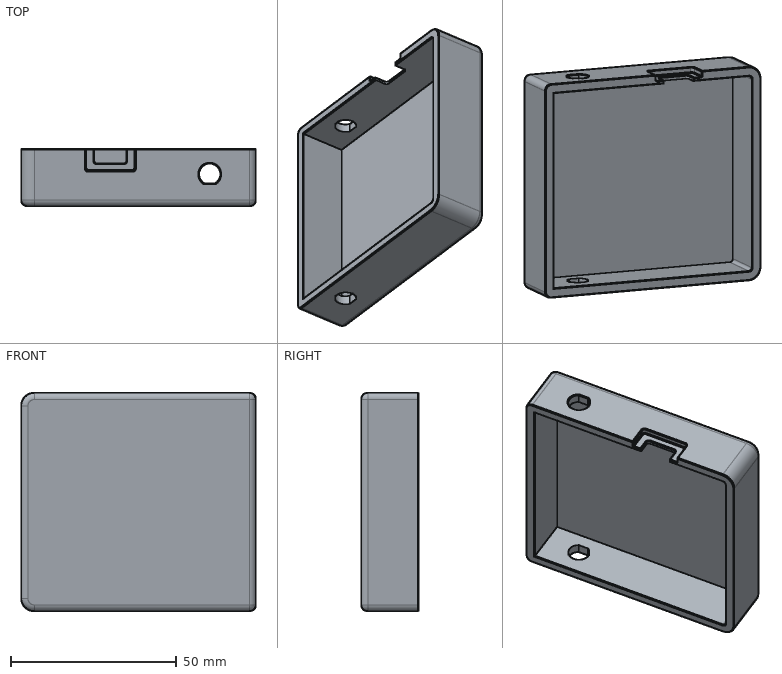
import cadquery as cq
import math

LENGTH_X = 71.0
DEPTH_Y = 17.5
HEIGHT_Z = 66.0
BACK_Y = DEPTH_Y / 2
TOP_Z = HEIGHT_Z / 2

WALL = 3.0
LEFT_CORNER_RADIUS = 4.0
EDGE_RADIUS = LEFT_CORNER_RADIUS / 2
SMALL_CHAMFER = 0.3

NOTCH_X = -8.5
RECESS_WIDTH = 15.0
RECESS_DEPTH = 6.75
RECESS_SINK = 1.85
OPENING_WIDTH = 9.7
OPENING_DEPTH = 4.5
NOTCH_CORNER_RADIUS = 0.85

HOLE_X = 21.5
HOLE_Y = 1.0
HOLE_RADIUS = 3.2
HOLE_FLAT_OFFSET = 2.8


def make_body():
    """Block with rounded corners and a rounded front edge."""
    block = cq.Workplane("XY").box(LENGTH_X, DEPTH_Y, HEIGHT_Z)
    block = block.edges("|Y and <X").fillet(LEFT_CORNER_RADIUS)
    block = block.edges("|Y and >X").fillet(EDGE_RADIUS)
    return block.faces("<Y").edges().fillet(EDGE_RADIUS)


def make_cavity():
    """Inner space, open at the back."""
    return (
        cq.Workplane("XY")
        .box(LENGTH_X - 2 * WALL, DEPTH_Y - WALL, HEIGHT_Z - 2 * WALL)
        .translate((0, WALL / 2, 0))
        .edges("|Y and <X")
        .fillet(LEFT_CORNER_RADIUS - WALL)
    )


def notch_outline(width, depth, z, margin=0.0):
    """Round-cornered notch outline at height z, grown sideways and inward by margin.

    The outline is mirrored about the back face, so its outer half lies outside the part.
    """
    return (
        cq.Sketch()
        .rect(width + 2 * margin, 2 * (depth + margin))
        .vertices()
        .fillet(NOTCH_CORNER_RADIUS + margin)
        .moved(cq.Location(cq.Vector(NOTCH_X, BACK_Y, z)))
    )


def notch_cutter(width, depth, levels):
    """Vertical notch lofted through (height, margin) levels listed from top to bottom."""
    cutter = cq.Workplane("XY")
    for (upper_z, upper_margin), (lower_z, lower_margin) in zip(levels, levels[1:]):
        upper = notch_outline(width, depth, upper_z, upper_margin)
        lower = notch_outline(width, depth, lower_z, lower_margin)
        cutter = cutter.union(cq.Workplane("XY").placeSketch(upper, lower).loft())
    return cutter


def make_recess():
    """Shallow upper step, sloped at its top edge and at the foot of its wall."""
    floor_z = TOP_Z - RECESS_SINK
    levels = [
        (TOP_Z, SMALL_CHAMFER),
        (TOP_Z - SMALL_CHAMFER, 0.0),
        (floor_z + SMALL_CHAMFER, 0.0),
        (floor_z, -SMALL_CHAMFER),
    ]
    return notch_cutter(RECESS_WIDTH, RECESS_DEPTH, levels)


def make_opening():
    """Narrower step from the recess floor into the cavity, chamfered at its top edge."""
    floor_z = TOP_Z - RECESS_SINK
    levels = [
        (floor_z, SMALL_CHAMFER),
        (floor_z - SMALL_CHAMFER, 0.0),
        (TOP_Z - WALL, 0.0),
    ]
    return notch_cutter(OPENING_WIDTH, OPENING_DEPTH, levels)


def d_outline(margin=0.0):
    """Circle cut off by a straight flat on its -Y side, grown outward by margin."""
    radius = HOLE_RADIUS + margin
    flat = HOLE_FLAT_OFFSET + margin
    half_flat = math.sqrt(radius**2 - flat**2)
    return (
        cq.Workplane("XY")
        .moveTo(HOLE_X - half_flat, HOLE_Y - flat)
        .threePointArc((HOLE_X, HOLE_Y + radius), (HOLE_X + half_flat, HOLE_Y - flat))
        .close()
    )


def make_d_hole():
    """D-shaped hole through both walls, chamfered where it meets the top face."""
    shaft = d_outline().extrude(HEIGHT_Z, both=True)
    mouth = d_outline(SMALL_CHAMFER).extrude(-SMALL_CHAMFER, taper=45)
    return shaft.union(mouth.translate((0, 0, TOP_Z)))


notched_shell = (
    make_body()
    .cut(make_cavity())
    .cut(make_recess())
    .cut(make_opening())
)

chamfered_shell = notched_shell.faces(">Y").edges().chamfer(SMALL_CHAMFER)

result = chamfered_shell.cut(make_d_hole())